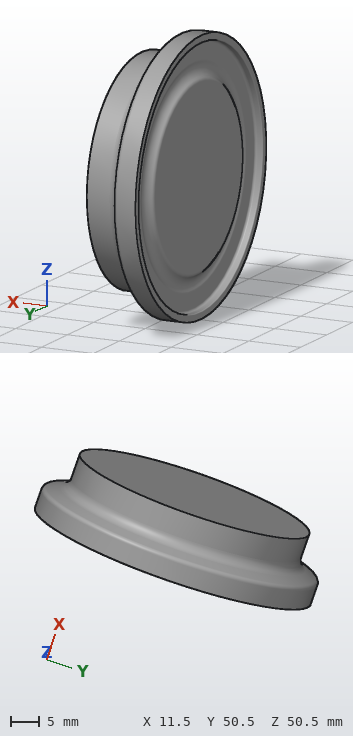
import cadquery as cq
import math

total_length = 11.5
flange_radius = 25.25
neck_radius = 42.0 / 2
rim_length = 3.5
edge_round = 0.85
neck_round = 2.05
back_angle = math.radians(20)

recess_radius = 47.7 / 2
recess_depth = 1.45
recess_mouth_round = 0.2
recess_floor_round = 0.45

groove_outer_radius = 20.4
groove_lip_width = 0.35
groove_lip_angle = math.radians(20)
disc_radius = 16.75
disc_edge_width = 0.7
disc_edge_angle = math.radians(52)


def on_arc(center, radius, angle):
    """Point (x, r) on a circle, with the angle measured from the +X direction."""
    return (center[0] + radius * math.cos(angle), center[1] + radius * math.sin(angle))


def make_body():
    cone_normal = back_angle
    mid_normal = (cone_normal + math.pi / 2) / 2
    edge_center = (rim_length, flange_radius - edge_round)
    cone_start = on_arc(edge_center, edge_round, cone_normal)

    neck_center_r = neck_radius + neck_round
    cone_end_r = neck_center_r - neck_round * math.sin(cone_normal)
    cone_end_x = cone_start[0] + (cone_start[1] - cone_end_r) * math.tan(back_angle)
    neck_center = (cone_end_x + neck_round * math.cos(cone_normal), neck_center_r)

    profile = (
        cq.Workplane("XY")
        .lineTo(0, flange_radius)
        .lineTo(rim_length, flange_radius)
        .threePointArc(on_arc(edge_center, edge_round, mid_normal), cone_start)
        .lineTo(cone_end_x, cone_end_r)
        .threePointArc(
            on_arc(neck_center, neck_round, mid_normal + math.pi),
            (neck_center[0], neck_radius),
        )
        .lineTo(total_length, neck_radius)
        .lineTo(total_length, 0)
        .close()
    )
    return profile.revolve(360, (0, 0, 0), (1, 0, 0))


def make_face_recess():
    """Cutter for the recess, the groove and the space in front of the disc."""
    mouth_center = (recess_mouth_round, recess_radius + recess_mouth_round)
    floor_center = (recess_depth - recess_floor_round, recess_radius - recess_floor_round)

    lip_round = groove_lip_width / math.sin(groove_lip_angle)
    lip_center = (recess_depth + lip_round, groove_outer_radius)
    lip_end = on_arc(lip_center, lip_round, math.pi + groove_lip_angle)
    groove_width = groove_outer_radius - groove_lip_width - disc_radius - disc_edge_width
    groove_round = groove_width / (math.sin(groove_lip_angle) + math.sin(disc_edge_angle))
    groove_center = (
        lip_end[0] - groove_round * math.cos(groove_lip_angle),
        lip_end[1] - groove_round * math.sin(groove_lip_angle),
    )
    groove_end = on_arc(groove_center, groove_round, -disc_edge_angle)
    disc_round = disc_edge_width / math.sin(disc_edge_angle)
    disc_center = (groove_end[0] + disc_round * math.cos(disc_edge_angle), disc_radius)
    disc_x = disc_center[0] - disc_round

    profile = (
        cq.Workplane("XY")
        .lineTo(0, mouth_center[1])
        .threePointArc(
            on_arc(mouth_center, recess_mouth_round, 5 * math.pi / 4),
            (mouth_center[0], recess_radius),
        )
        .lineTo(floor_center[0], recess_radius)
        .threePointArc(
            on_arc(floor_center, recess_floor_round, math.pi / 4),
            (recess_depth, floor_center[1]),
        )
        .lineTo(recess_depth, groove_outer_radius)
        .threePointArc(on_arc(lip_center, lip_round, math.pi + groove_lip_angle / 2), lip_end)
        .threePointArc(on_arc(groove_center, groove_round, 0), groove_end)
        .threePointArc(
            on_arc(disc_center, disc_round, math.pi - disc_edge_angle / 2),
            (disc_x, disc_radius),
        )
        .lineTo(disc_x, 0)
        .close()
    )
    return profile.revolve(360, (0, 0, 0), (1, 0, 0))


result = make_body().cut(make_face_recess())